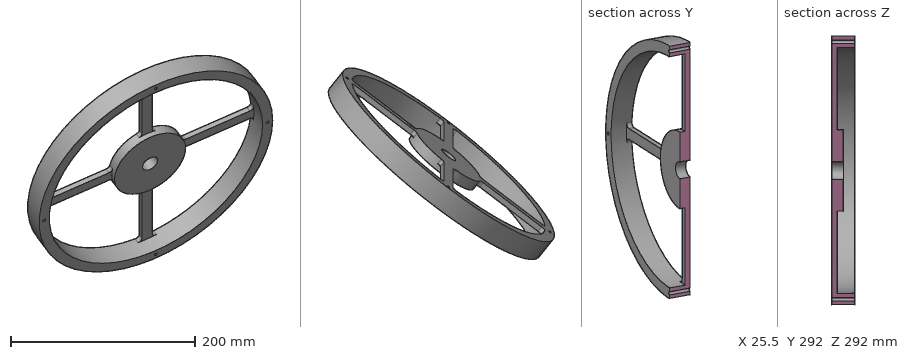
import cadquery as cq

outer_diameter = 292.0
rim_depth = 25.5
hub_depth = rim_depth / 2
spoke_depth = rim_depth / 4
rim_thickness = rim_depth / 2
spoke_width = rim_depth / 2
hub_diameter = 88.8
bore_diameter = 19.0
fillet_radius = 4.7
rim_hole_diameter = 3.2

outer_radius = outer_diameter / 2
inner_radius = outer_radius - rim_thickness
rim_hole_radius = outer_radius - rim_thickness / 2
flush_face = cq.Workplane("YZ", origin=(-rim_depth / 2, 0, 0))


def ring(outside_radius, inside_radius, depth):
    """Flat ring extruded from the flush face toward +X."""
    return flush_face.circle(outside_radius).circle(inside_radius).extrude(depth)


def spoke_web():
    """Thin cross of spokes, filleted where it meets the hub and the rim."""
    openings = ring(inner_radius, hub_diameter / 2, spoke_depth)
    for length, width in ((outer_diameter, spoke_width), (spoke_width, outer_diameter)):
        openings = openings.cut(flush_face.rect(length, width).extrude(spoke_depth))
    openings = openings.edges("|X").fillet(fillet_radius)
    return flush_face.circle(inner_radius + rim_thickness / 2).extrude(spoke_depth).cut(openings)


rim = ring(outer_radius, inner_radius, rim_depth)
hub = flush_face.circle(hub_diameter / 2).extrude(hub_depth)
wheel = rim.union(spoke_web()).union(hub)

bore = flush_face.circle(bore_diameter / 2).extrude(rim_depth)
rim_holes = (
    flush_face.polarArray(rim_hole_radius, 0, 360, 4)
    .circle(rim_hole_diameter / 2)
    .extrude(rim_depth)
)
result = wheel.cut(bore).cut(rim_holes)